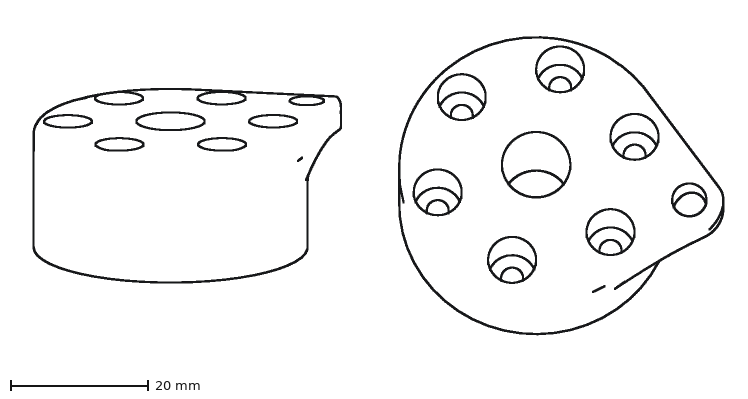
import cadquery as cq
import math

height = 19.0
drum_radius = 20.0
total_length = 48.0
nose_reach = total_length - drum_radius

plate_thickness = 4.0
plate_bottom = height - plate_thickness
edge_round = 2.0
nose_radius = 5.0
nose_center_y = nose_reach - nose_radius
shoulder_y = 12.35
nose_start_y = 26.55

cove_radius = 5.0

bore_diameter = 10.0
nose_hole_diameter = 5.0
screw_count = 6
screw_circle_radius = 15.0
screw_hole_diameter = 3.2
counterbore_diameter = 7.0
counterbore_depth = plate_thickness + cove_radius

shoulder_x = math.sqrt(drum_radius**2 - shoulder_y**2)
nose_start_x = math.sqrt(nose_radius**2 - (nose_start_y - nose_center_y) ** 2)
side_slope = (nose_start_y - shoulder_y) / (shoulder_x - nose_start_x)
apex_y = nose_start_y + side_slope * nose_start_x


def rounded_teardrop():
    """Full-height prism with the nose rounded off."""
    return (
        cq.Workplane("XY")
        .moveTo(-shoulder_x, shoulder_y)
        .threePointArc((0, -drum_radius), (shoulder_x, shoulder_y))
        .lineTo(nose_start_x, nose_start_y)
        .threePointArc((0, nose_reach), (-nose_start_x, nose_start_y))
        .close()
        .extrude(height)
    )


def top_plate():
    """Pointed plate with a rounded top edge; the nose tip is trimmed to its arc later."""
    return (
        cq.Workplane("XY", origin=(0, 0, plate_bottom))
        .moveTo(-shoulder_x, shoulder_y)
        .threePointArc((0, -drum_radius), (shoulder_x, shoulder_y))
        .lineTo(0, apex_y)
        .close()
        .extrude(plate_thickness)
        .faces(">Z")
        .edges()
        .fillet(edge_round)
    )


def cove():
    """Disc flaring from the drum wall out to the underside of the plate."""
    bottom = plate_bottom - cove_radius
    outer = drum_radius + cove_radius
    bend = cove_radius * math.sqrt(0.5)
    return (
        cq.Workplane("XZ")
        .moveTo(0, bottom)
        .lineTo(drum_radius, bottom)
        .threePointArc((outer - bend, bottom + bend), (outer, plate_bottom))
        .lineTo(0, plate_bottom)
        .close()
        .revolve(360, (0, 0, 0), (0, 1, 0))
    )


def drill(diameter, x=0.0, y=0.0, depth=height):
    """Cylinder reaching down from the top face."""
    return cq.Workplane("XY", origin=(x, y, height - depth)).circle(diameter / 2).extrude(depth)


drum = cq.Workplane("XY").circle(drum_radius).extrude(plate_bottom)
nose_and_plate = top_plate().union(cove()).intersect(rounded_teardrop())
result = drum.union(nose_and_plate)

result = result.cut(drill(bore_diameter))
result = result.cut(drill(nose_hole_diameter, y=nose_center_y))

for index in range(screw_count):
    angle = 2 * math.pi * index / screw_count
    x = screw_circle_radius * math.cos(angle)
    y = screw_circle_radius * math.sin(angle)
    result = result.cut(drill(screw_hole_diameter, x, y))
    result = result.cut(drill(counterbore_diameter, x, y, counterbore_depth))